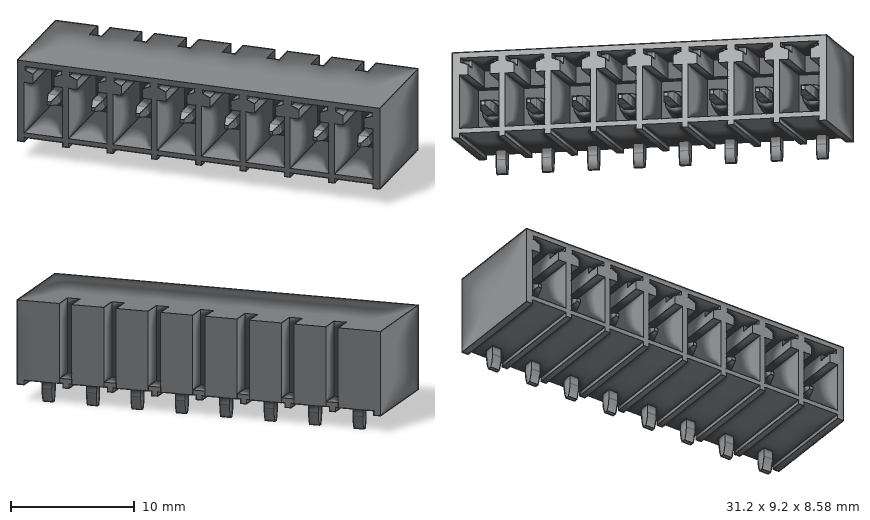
import cadquery as cq

POLES = 8
LENGTH = 31.17
END_MARGIN = 2.25
PITCH = (LENGTH - 2 * END_MARGIN) / (POLES - 1)
DEPTH = 9.2
HEIGHT = 7.05

CELL_WIDTH = 3.3
CELL_DEPTH = 6.55
FLOOR_TOP = 0.78
LIP_DROP = 1.87
CELL_TOP = HEIGHT - LIP_DROP
RIB_HEIGHT = 0.37

ROOF = 0.47
SLOT_TOP = HEIGHT - ROOF
KEY_WIDTH = 1.8
KEY_DEPTH = 5.6
MOUTH_WIDTH = 3.12
MOUTH_DEPTH = 1.25
MOUTH_SIDE = 0.3
MOUTH_DROP = 0.6

NOTCH_WIDTH = 1.05
NOTCH_DEPTH = 1.95
NOTCH_FLOOR_INSET = 0.05

BOSS_BASE_DIAMETER = 2.18
BOSS_END_DIAMETER = 1.8
BOSS_ROUND = 0.22
BOSS_HEIGHT = 1.87

PIN_SIZE = 0.85
PIN_AXIS_Z = 3.05
PIN_FRONT = 1.35
POINT_LENGTH = 0.95
POINT_SIZE = 0.3
LEG_REAR_GAP = 0.87
LEG_BACK = DEPTH - LEG_REAR_GAP
LEG_LENGTH = 1.53
TAPER_LENGTH = 1.12
TAPER_INSET = 0.25

FIRST_POLE_X = -PITCH * (POLES - 1) / 2
POLE_XS = [FIRST_POLE_X + PITCH * i for i in range(POLES)]
GAP_XS = [x + PITCH / 2 for x in POLE_XS[:-1]]


def block(x_center, width, y_min, y_max, z_min, z_max):
    """Box centred on x_center in X, with its Y and Z limits given."""
    return (
        cq.Workplane("XY")
        .box(width, y_max - y_min, z_max - z_min, centered=(True, False, False))
        .translate((x_center, y_min, z_min))
    )


def key_mouth(x):
    """Flared mouth of the key slot: square shoulders, then flanks sloping in to the slot."""
    half_mouth = MOUTH_WIDTH / 2
    half_key = KEY_WIDTH / 2
    shoulder_z = SLOT_TOP - MOUTH_SIDE
    throat_z = SLOT_TOP - MOUTH_DROP
    return (
        cq.Workplane("XZ")
        .polyline([
            (x - half_mouth, SLOT_TOP),
            (x + half_mouth, SLOT_TOP),
            (x + half_mouth, shoulder_z),
            (x + half_key, throat_z),
            (x - half_key, throat_z),
            (x - half_mouth, shoulder_z),
        ])
        .close()
        .extrude(-MOUTH_DEPTH)
    )


def pin_boss(x):
    """Slightly tapered round boss with a rounded end, standing forward from the back wall of a cell."""
    return (
        cq.Workplane("XZ", origin=(x, CELL_DEPTH, PIN_AXIS_Z))
        .circle(BOSS_BASE_DIAMETER / 2)
        .workplane(offset=BOSS_HEIGHT)
        .circle(BOSS_END_DIAMETER / 2)
        .loft(ruled=True)
        .faces("<Y")
        .edges()
        .fillet(BOSS_ROUND)
    )


def rear_notch(x):
    """Notch down to the cell floor level; the floor left below it stops short of the rear face."""
    opening = block(x, NOTCH_WIDTH, DEPTH - NOTCH_DEPTH, DEPTH, FLOOR_TOP, HEIGHT)
    floor_trim = block(x, NOTCH_WIDTH, DEPTH - NOTCH_FLOOR_INSET, DEPTH, 0, FLOOR_TOP)
    return opening.union(floor_trim)


def make_pin(x):
    """Bent pin: pyramid point, straight contact to the front, and a leg with a rounded taper."""
    half = PIN_SIZE / 2
    point_root = PIN_FRONT + POINT_LENGTH
    contact = block(x, PIN_SIZE, point_root, LEG_BACK, PIN_AXIS_Z - half, PIN_AXIS_Z + half)
    point = (
        cq.Workplane("XZ", origin=(x, point_root, PIN_AXIS_Z))
        .rect(PIN_SIZE, PIN_SIZE)
        .workplane(offset=POINT_LENGTH)
        .rect(POINT_SIZE, POINT_SIZE)
        .loft(ruled=True)
    )
    leg_front = LEG_BACK - PIN_SIZE
    taper_top = TAPER_LENGTH - LEG_LENGTH
    taper_radius = (TAPER_LENGTH**2 + TAPER_INSET**2) / (2 * TAPER_INSET)
    leg = (
        cq.Workplane("YZ", origin=(x - half, 0, 0))
        .moveTo(leg_front, PIN_AXIS_Z)
        .lineTo(LEG_BACK, PIN_AXIS_Z)
        .lineTo(LEG_BACK, taper_top)
        .radiusArc((LEG_BACK - TAPER_INSET, -LEG_LENGTH), taper_radius)
        .lineTo(leg_front + TAPER_INSET, -LEG_LENGTH)
        .radiusArc((leg_front, taper_top), taper_radius)
        .close()
        .extrude(PIN_SIZE)
    )
    return contact.union(point).union(leg)


def make_housing(pins):
    """Housing with its cells, key slots, notches and pin holes."""
    body = block(0, LENGTH, 0, DEPTH, 0, HEIGHT)
    for x in POLE_XS:
        body = body.cut(block(x, CELL_WIDTH, 0, CELL_DEPTH, FLOOR_TOP, CELL_TOP))
        body = body.cut(block(x, KEY_WIDTH, 0, KEY_DEPTH, CELL_TOP, SLOT_TOP))
        body = body.cut(key_mouth(x))
        body = body.cut(block(x, CELL_WIDTH, 0, DEPTH, 0, RIB_HEIGHT))
        body = body.union(pin_boss(x))
    for x in GAP_XS:
        body = body.cut(rear_notch(x))
    for pin in pins:
        body = body.cut(pin)
    return body


pins = [make_pin(x) for x in POLE_XS]
housing = make_housing(pins)

result = cq.Compound.makeCompound([housing.val(), *[pin.val() for pin in pins]])